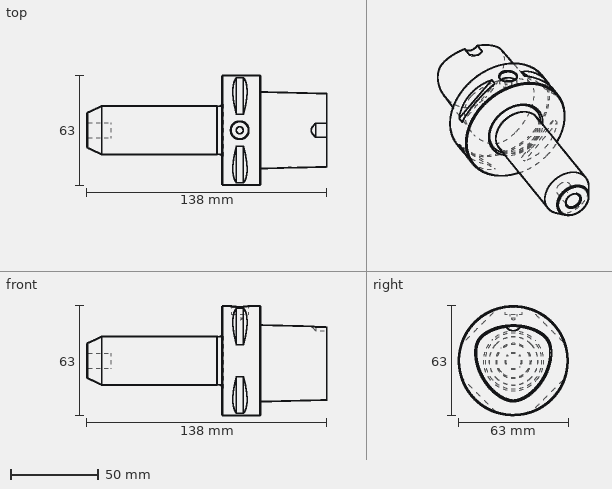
import cadquery as cq
import math

TOTAL_LENGTH = 138
TIP_CONE_END = 8.7
RELIEF_START = 74.7
ROOT_ARC_START = 76.0
FLANGE_START = 77.7
FLANGE_END = 100.0

ARBOR_RADIUS = 28.0 / 2
RELIEF_RADIUS = 27.7 / 2
RELIEF_STEP = 0.4
TIP_FACE_RADIUS = 9.5
TIP_CONE_RADIUS = 10.2
TIP_CHAMFER = 0.5
ROOT_ARC_RADIUS = 2.3
RECESS_RADIUS = 17.2
TIP_BORE_DIAMETER = 8.8
TIP_BORE_MOUTH_DIAMETER = 10.0
TIP_BORE_DEPTH = 13.8

FLANGE_RADIUS = 63.0 / 2
FLANGE_CHAMFER = 0.5

SLOT_CENTRE_X = 88.0
SLOT_FLOOR_WIDTH = 4.0
SLOT_FLOOR_RADIUS = 27.9
SLOT_WALL_ANGLE = math.radians(30)
SLOT_COUNT = 4

RIM_HOLE_X = 87.9
RIM_HOLE_DIAMETER = 10.0
RIM_HOLE_CHAMFER = 0.35
RIM_HOLE_DEPTH = 4.8
PILOT_DIAMETER = 4.0
PILOT_DEPTH = 2.1
DRILL_POINT_HALF_ANGLE = math.radians(59)

SHANK_BASE_RADIUS = 22.1
SHANK_END_RADIUS = 21.1
LOBE_HEIGHT = 1.5
LOBE_COUNT = 3
LOBE_ANGLE = math.radians(-90)
SECTION_POINTS = 48

NOTCH_RADIUS = 4.8
NOTCH_LENGTH = 6.5
NOTCH_FLOOR_HEIGHT = 17.2
NOTCH_TIP_HALF_ANGLE = math.radians(45)


def make_turned_body():
    """Arbor and flange, revolved about X."""
    arc_centre_radius = RELIEF_RADIUS + ROOT_ARC_RADIUS
    arc_diagonal = ROOT_ARC_RADIUS * math.sqrt(0.5)
    root_arc_middle = (ROOT_ARC_START + arc_diagonal, arc_centre_radius - arc_diagonal)
    root_arc_end = (ROOT_ARC_START + ROOT_ARC_RADIUS, arc_centre_radius)
    profile = (
        cq.Workplane("XY")
        .lineTo(0, TIP_FACE_RADIUS)
        .lineTo(TIP_CHAMFER, TIP_CONE_RADIUS)
        .lineTo(TIP_CONE_END, ARBOR_RADIUS)
        .lineTo(RELIEF_START, ARBOR_RADIUS)
        .lineTo(RELIEF_START + RELIEF_STEP, RELIEF_RADIUS)
        .lineTo(ROOT_ARC_START, RELIEF_RADIUS)
        .threePointArc(root_arc_middle, root_arc_end)
        .lineTo(FLANGE_START, RECESS_RADIUS)
        .lineTo(FLANGE_START, FLANGE_RADIUS - FLANGE_CHAMFER)
        .lineTo(FLANGE_START + FLANGE_CHAMFER, FLANGE_RADIUS)
        .lineTo(FLANGE_END - FLANGE_CHAMFER, FLANGE_RADIUS)
        .lineTo(FLANGE_END, FLANGE_RADIUS - FLANGE_CHAMFER)
        .lineTo(FLANGE_END, 0)
        .close()
    )
    return profile.revolve(360, (0, 0, 0), (1, 0, 0))


def lobed_point(angle, radius):
    """Point whose tangent lies at radius + LOBE_HEIGHT * cos(3 * angle) from the axis."""
    phase = LOBE_COUNT * (angle - LOBE_ANGLE)
    support = radius + LOBE_HEIGHT * math.cos(phase)
    slope = -LOBE_COUNT * LOBE_HEIGHT * math.sin(phase)
    y = support * math.cos(angle) - slope * math.sin(angle)
    z = support * math.sin(angle) + slope * math.cos(angle)
    return (y, z)


def lobed_section(radius):
    step = 2 * math.pi / SECTION_POINTS
    return [lobed_point(i * step, radius) for i in range(SECTION_POINTS)]


def make_shank():
    return (
        cq.Workplane("YZ", origin=(FLANGE_END, 0, 0))
        .spline(lobed_section(SHANK_BASE_RADIUS), periodic=True)
        .close()
        .workplane(offset=TOTAL_LENGTH - FLANGE_END)
        .spline(lobed_section(SHANK_END_RADIUS), periodic=True)
        .close()
        .loft(ruled=True)
    )


def make_gripper_slot(angle):
    """Trapezoidal cutter crossing the flange rim, turned about X from +Z."""
    half_floor = SLOT_FLOOR_WIDTH / 2
    depth = FLANGE_RADIUS - SLOT_FLOOR_RADIUS
    half_mouth = half_floor + depth * math.tan(SLOT_WALL_ANGLE)
    return (
        cq.Workplane("XZ")
        .moveTo(SLOT_CENTRE_X - half_floor, SLOT_FLOOR_RADIUS)
        .lineTo(SLOT_CENTRE_X + half_floor, SLOT_FLOOR_RADIUS)
        .lineTo(SLOT_CENTRE_X + half_mouth, FLANGE_RADIUS)
        .lineTo(SLOT_CENTRE_X - half_mouth, FLANGE_RADIUS)
        .close()
        .extrude(FLANGE_RADIUS, both=True)
        .rotate((0, 0, 0), (1, 0, 0), angle)
    )


def make_rim_hole():
    """Chamfered counterbore with a drilled pilot, entering from +Z."""
    radius = RIM_HOLE_DIAMETER / 2
    pilot_radius = PILOT_DIAMETER / 2
    chamfer_top = math.sqrt(FLANGE_RADIUS**2 - radius**2)
    floor = FLANGE_RADIUS - RIM_HOLE_DEPTH
    pilot_floor = floor - PILOT_DEPTH
    drill_point_height = pilot_radius / math.tan(DRILL_POINT_HALF_ANGLE)
    return (
        cq.Workplane("XZ", origin=(RIM_HOLE_X, 0, 0))
        .moveTo(0, FLANGE_RADIUS)
        .lineTo(radius + RIM_HOLE_CHAMFER, FLANGE_RADIUS)
        .lineTo(radius + RIM_HOLE_CHAMFER, chamfer_top)
        .lineTo(radius, chamfer_top - RIM_HOLE_CHAMFER)
        .lineTo(radius, floor)
        .lineTo(pilot_radius, floor)
        .lineTo(pilot_radius, pilot_floor)
        .lineTo(0, pilot_floor - drill_point_height)
        .close()
        .revolve(360, (0, 0, 0), (0, 1, 0))
    )


def make_tip_bore():
    """Blind hole on the axis with a chamfered mouth."""
    radius = TIP_BORE_DIAMETER / 2
    mouth_radius = TIP_BORE_MOUTH_DIAMETER / 2
    return (
        cq.Workplane("XY")
        .lineTo(0, mouth_radius)
        .lineTo(mouth_radius - radius, radius)
        .lineTo(TIP_BORE_DEPTH, radius)
        .lineTo(TIP_BORE_DEPTH, 0)
        .close()
        .revolve(360, (0, 0, 0), (1, 0, 0))
    )


def make_drive_notch():
    """Shallow round groove along X with a conical inner end."""
    shoulder = TOTAL_LENGTH - NOTCH_LENGTH
    tip_length = NOTCH_RADIUS / math.tan(NOTCH_TIP_HALF_ANGLE)
    axis_height = NOTCH_FLOOR_HEIGHT + NOTCH_RADIUS
    return (
        cq.Workplane("XZ", origin=(0, 0, axis_height))
        .moveTo(TOTAL_LENGTH, 0)
        .lineTo(TOTAL_LENGTH, NOTCH_RADIUS)
        .lineTo(shoulder, NOTCH_RADIUS)
        .lineTo(shoulder - tip_length, 0)
        .close()
        .revolve(360, (0, 0, 0), (1, 0, 0))
    )


result = make_turned_body().union(make_shank())
for i in range(SLOT_COUNT):
    result = result.cut(make_gripper_slot((i + 0.5) * 360 / SLOT_COUNT))
result = result.cut(make_rim_hole())
result = result.cut(make_tip_bore())
result = result.cut(make_drive_notch())